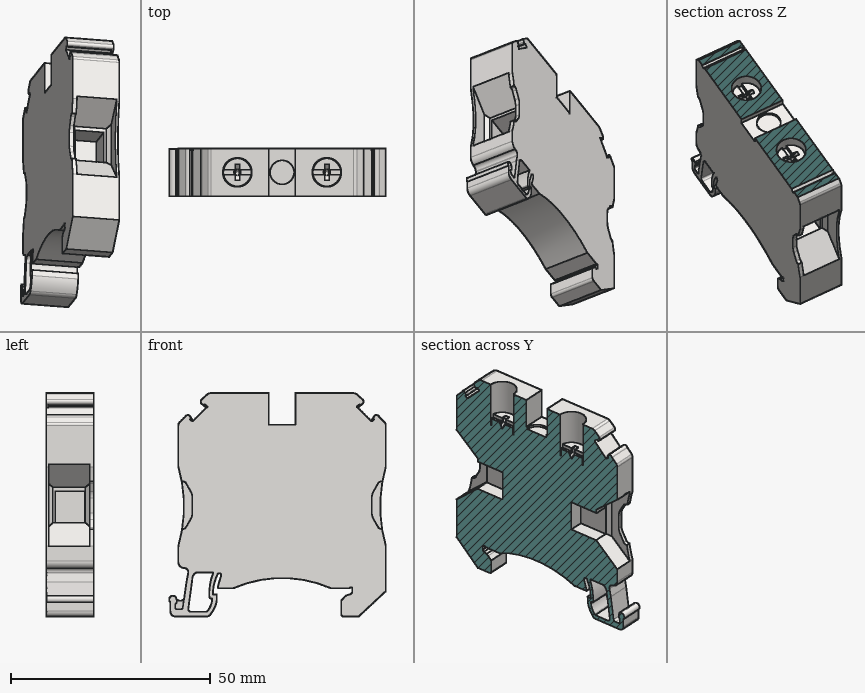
import cadquery as cq
width = 12.0
height = 56.0
half_length = 26.0
skin = 0.5

slot_width = 6.65
slot_floor_z = 48.1
slot_hole_diameter = 6.0
slot_hole_depth = 0.6

screw_x = 11.2
screw_y = width / 2
screw_bore_diameter = 7.3
screw_bore_depth = 12.0
screw_head_diameter = 7.0
screw_head_height = 3.0
driver_slot_width = 1.25
driver_slot_depth = 1.0
cross_width = 1.1
cross_length = 4.0
cross_depth = 1.75
centre_point_diameter = 1.7
centre_point_depth = 1.6

waist_low_z = 17.7
waist_high_z = 37.55
waist_mid_z = (waist_low_z + waist_high_z) / 2
waist_depth = 1.4
bottom_z = 7.1
arch_half_span = 12.2
arch_z = 9.65

entry_outer_y = (1.1, 11.33)
entry_outer_z = (17.6, 38.1)
entry_inner_y = (2.15, 10.3)
entry_inner_z = (23.5, 32.4)
shoulder_depth = 5.75
entry_depth = 6.8
window_y = (2.33, 9.72)
window_z = (entry_inner_z[0], 31.4)
window_depth = 8.0
relief_x = 22.45
relief_floor_half = 2.7
relief_mouth_half = 5.95
relief_mouth_x = 24.3
relief_mid_z = 27.9
relief_floor_fillet = 3.3
relief_mouth_fillet = 0.8

foot_width = 11.9
foot_root_z = 11.6
hook_web = 1.3


def plate(profile, start_y, end_y):
    """Extrude an XZ profile between two Y positions."""
    return profile.extrude(start_y - end_y).translate((0, start_y, 0))


def both_sides(solid):
    """Join a solid with its mirror image across the middle of the housing."""
    return solid.union(solid.mirror("YZ"))


def make_housing():
    outline = (
        cq.Workplane("XZ")
        .moveTo(-half_length, 13.95)
        .lineTo(-half_length, waist_low_z)
        .threePointArc((-half_length + waist_depth, waist_mid_z), (-half_length, waist_high_z))
        .lineTo(-half_length, 47.9)
        .threePointArc((-25.93, 48.3), (-25.7, 48.65))
        .lineTo(-24.3, 50.05)
        .threePointArc((-23.6, 50.5), (-23.1, 50.3))
        .lineTo(-22.3, 49.0)
        .lineTo(-19.0, 52.3)
        .lineTo(-20.2, 53.3)
        .threePointArc((-20.4, 53.8), (-20.15, 54.4))
        .lineTo(-18.65, 55.75)
        .threePointArc((-18.28, 55.93), (-17.85, height))
        .lineTo(17.85, height)
        .threePointArc((18.28, 55.93), (18.65, 55.75))
        .lineTo(20.15, 54.4)
        .threePointArc((20.4, 53.8), (20.2, 53.3))
        .lineTo(19.0, 52.3)
        .lineTo(22.3, 49.0)
        .lineTo(23.1, 50.3)
        .threePointArc((23.6, 50.5), (24.3, 50.05))
        .lineTo(25.7, 48.65)
        .threePointArc((25.93, 48.3), (half_length, 47.9))
        .lineTo(half_length, waist_high_z)
        .threePointArc((half_length - waist_depth, waist_mid_z), (half_length, waist_low_z))
        .lineTo(half_length, 6.4)
        .lineTo(19.15, 0)
        .lineTo(15.4, 0)
        .threePointArc((14.95, 0.2), (14.75, 0.7))
        .lineTo(14.75, 4.0)
        .lineTo(15.75, 5.1)
        .lineTo(16.2, 5.4)
        .lineTo(17.1, 5.65)
        .lineTo(17.5, 6.05)
        .lineTo(17.5, 7.3)
        .lineTo(17.0, 7.3)
        .lineTo(16.9, bottom_z)
        .lineTo(arch_half_span, bottom_z)
        .threePointArc((0, arch_z), (-arch_half_span, bottom_z))
        .lineTo(-15.7, bottom_z)
        .threePointArc((-16.05, 7.2), (-16.1, 7.55))
        .lineTo(-15.3, 10.3)
        .threePointArc((-15.65, 10.85), (-16.2, 10.4))
        .lineTo(-17.0, 11.05)
        .lineTo(-23.5, 11.05)
        .threePointArc((-23.85, 11.9), (-24.7, 12.15))
        .threePointArc((-25.6, 12.65), (-half_length, 13.95))
        .close()
    )
    return plate(outline, 0, width)


def make_foot():
    outline = (
        cq.Workplane("XZ")
        .moveTo(-23.5, foot_root_z)
        .lineTo(-23.5, 11.0)
        .lineTo(-23.95, 8.8)
        .lineTo(-24.85, 2.4)
        .threePointArc((-25.0, 2.0), (-25.35, 1.88))
        .lineTo(-26.3, 1.88)
        .threePointArc((-26.65, 2.0), (-26.75, 2.35))
        .lineTo(-26.75, 3.15)
        .lineTo(-26.4, 3.5)
        .lineTo(-26.4, 4.4)
        .lineTo(-26.6, 4.92)
        .threePointArc((-28.0, 5.0), (-28.0, 3.6))
        .lineTo(-28.0, 1.5)
        .threePointArc((-27.6, 0.4), (-26.6, 0))
        .lineTo(-19.1, 0)
        .threePointArc((-18.4, 0.15), (-17.9, 0.6))
        .threePointArc((-16.8, 2.4), (-16.3, 4.2))
        .lineTo(-16.3, 5.6)
        .lineTo(-17.25, 5.6)
        .threePointArc((-17.05, 8.0), (-16.2, 10.4))
        .lineTo(-16.2, foot_root_z)
        .close()
    )
    opening = (
        cq.Workplane("XZ")
        .moveTo(-21.4, 11.05)
        .lineTo(-17.25, 11.05)
        .threePointArc((-18.05, 8.2), (-18.25, 5.1))
        .lineTo(-18.1, 4.6)
        .lineTo(-17.5, 4.5)
        .threePointArc((-17.85, 2.9), (-18.6, 1.5))
        .lineTo(-18.9, 1.25)
        .lineTo(-22.9, 1.25)
        .threePointArc((-23.3, 1.45), (-23.45, 2.0))
        .lineTo(-22.45, 9.4)
        .threePointArc((-22.1, 10.5), (-21.4, 11.05))
        .close()
    )
    web = (
        cq.Workplane("XZ")
        .moveTo(-26.9, 1.6)
        .lineTo(-24.8, 1.6)
        .lineTo(-24.5, 4.5)
        .threePointArc((-25.4, 4.0), (-26.5, 4.5))
        .lineTo(-26.9, 3.2)
        .close()
    )
    foot = plate(outline, 0, foot_width).cut(plate(opening, 0, foot_width))
    return foot.union(plate(web, foot_width - hook_web, foot_width))


def make_marker_grooves():
    """Undercuts in the two lips of the left marker carrier."""
    upper = cq.Workplane("XZ").polyline(
        [(-19.0, 52.3), (-18.65, 52.55), (-19.4, 53.2), (-19.8, 52.95)]
    ).close()
    lower = cq.Workplane("XZ").polyline(
        [(-22.3, 49.0), (-22.45, 48.9), (-23.1, 49.4), (-22.65, 49.6)]
    ).close()
    return plate(upper, 0, width - skin).union(plate(lower, 0, width - skin))


def make_wire_entry():
    """Funnel, clamp window and front cheek relief of the left wire entry."""
    shoulder_x = -half_length + shoulder_depth
    floor_x = -half_length + entry_depth
    sloped_walls = cq.Workplane("XZ").polyline([
        (-half_length, entry_outer_z[0]),
        (floor_x, entry_inner_z[0]),
        (floor_x, entry_inner_z[1]),
        (-half_length, entry_outer_z[1]),
    ]).close()
    cheeks = cq.Workplane("XY").polyline([
        (-half_length, entry_outer_y[0]),
        (shoulder_x, entry_outer_y[0]),
        (floor_x, entry_inner_y[0]),
        (floor_x, entry_inner_y[1]),
        (shoulder_x, entry_outer_y[1]),
        (-half_length, entry_outer_y[1]),
    ]).close().extrude(height)
    funnel = plate(sloped_walls, 0, width).intersect(cheeks)
    window = cq.Workplane("XY").box(
        window_depth, window_y[1] - window_y[0], window_z[1] - window_z[0], centered=False
    ).translate((floor_x, window_y[0], window_z[0]))
    return funnel.union(window).union(make_cheek_relief())


def make_cheek_relief():
    """Trapezoid opening with rounded corners through the cheek on the -Y side."""
    profile = cq.Workplane("XZ").polyline([
        (-half_length, relief_mid_z - relief_mouth_half),
        (-relief_mouth_x, relief_mid_z - relief_mouth_half),
        (-relief_x, relief_mid_z - relief_floor_half),
        (-relief_x, relief_mid_z + relief_floor_half),
        (-relief_mouth_x, relief_mid_z + relief_mouth_half),
        (-half_length, relief_mid_z + relief_mouth_half),
    ]).close()
    relief = plate(profile, 0, entry_outer_y[0])
    relief = relief.edges(corners_at(-relief_x)).fillet(relief_floor_fillet)
    return relief.edges(corners_at(-relief_mouth_x)).fillet(relief_mouth_fillet)


def corners_at(x):
    """Select the edges along Y that lie at the given X."""
    margin = 0.1
    near_x = cq.selectors.BoxSelector((x - margin, -width, 0), (x + margin, width, height))
    return cq.selectors.AndSelector(cq.selectors.ParallelDirSelector(cq.Vector(0, 1, 0)), near_x)


def make_screw_bore():
    """Bore with the screw head left standing on its floor, as a cutting solid."""
    floor_z = height - screw_bore_depth
    bore = cq.Workplane("XY").circle(screw_bore_diameter / 2).extrude(screw_bore_depth)
    head = cq.Workplane("XY").circle(screw_head_diameter / 2).extrude(screw_head_height)
    top = cq.Workplane("XY", origin=(0, 0, screw_head_height))
    driver_slot = top.rect(screw_head_diameter, driver_slot_width).extrude(-driver_slot_depth)
    cross = (
        cq.Workplane("YZ")
        .polyline([
            (-cross_length / 2, screw_head_height),
            (0, screw_head_height - cross_depth),
            (cross_length / 2, screw_head_height),
        ])
        .close()
        .extrude(cross_width / 2, both=True)
    )
    slot_floor = screw_head_height - driver_slot_depth
    point = cq.Workplane(cq.Solid.makeCone(
        centre_point_diameter / 2, 0, centre_point_depth,
        pnt=cq.Vector(0, 0, slot_floor), dir=cq.Vector(0, 0, -1),
    ))
    head = head.cut(driver_slot).cut(cross).cut(point)
    return bore.cut(head).translate((-screw_x, screw_y, floor_z))


def make_centre_slot():
    depth = height - slot_floor_z
    slot = cq.Workplane("XY", origin=(0, width / 2, slot_floor_z)).rect(slot_width, width).extrude(depth)
    hole = (
        cq.Workplane("XY", origin=(0, width / 2, slot_floor_z))
        .circle(slot_hole_diameter / 2)
        .extrude(-slot_hole_depth)
    )
    return slot.union(hole)


result = (
    make_housing()
    .union(make_foot())
    .cut(make_centre_slot())
    .cut(both_sides(make_marker_grooves()))
    .cut(both_sides(make_wire_entry()))
    .cut(both_sides(make_screw_bore()))
)